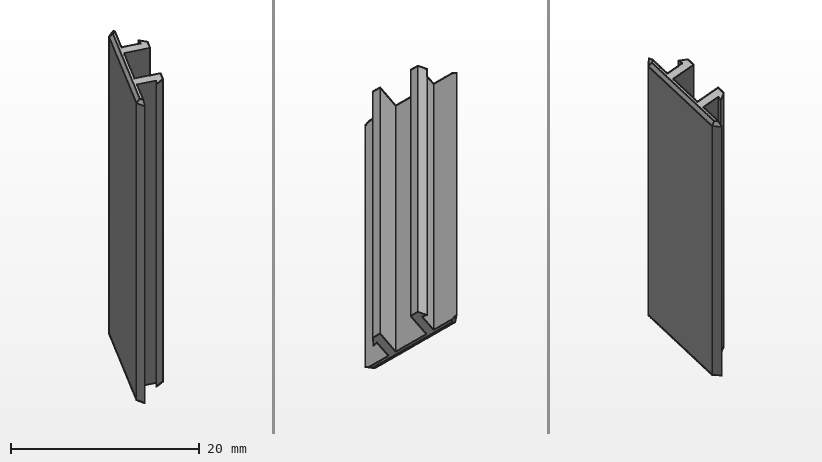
import cadquery as cq

length = 45.0
width = 11.9
depth = 3.6

plate_thickness = 0.7
end_chamfer = 0.4

clip_inner_x = 2.0
clip_outer_x = 2.92
clip_root_y = plate_thickness
barb_tip_x = 3.45
barb_tip_y = 2.7
barb_root_y = 2.85


def make_plate():
    """Full-length plate, narrower at the front, with chamfered ends."""
    back_half = width / 2
    front_half = back_half - plate_thickness
    plate = (
        cq.Workplane("XY")
        .moveTo(-front_half, 0)
        .lineTo(front_half, 0)
        .lineTo(back_half, plate_thickness)
        .lineTo(-back_half, plate_thickness)
        .close()
        .extrude(length)
    )
    back_edges = plate.faces(">Y").edges("|X").vals()
    end_edges = plate.faces("<Z or >Z").edges()
    front_edges = end_edges.filter(lambda edge: not any(edge.isSame(back) for back in back_edges))
    return front_edges.chamfer(end_chamfer)


def make_clip(side):
    """Full-length clip on one side (+1 or -1), its barb pointing outward."""
    outline = [
        (clip_inner_x, clip_root_y),
        (clip_outer_x, clip_root_y),
        (clip_outer_x, barb_root_y),
        (barb_tip_x, barb_tip_y),
        (clip_outer_x, depth),
        (clip_inner_x, depth),
    ]
    return (
        cq.Workplane("XY")
        .polyline([(side * x, y) for x, y in outline])
        .close()
        .extrude(length)
    )


result = make_plate()
for side in (-1, 1):
    result = result.union(make_clip(side))